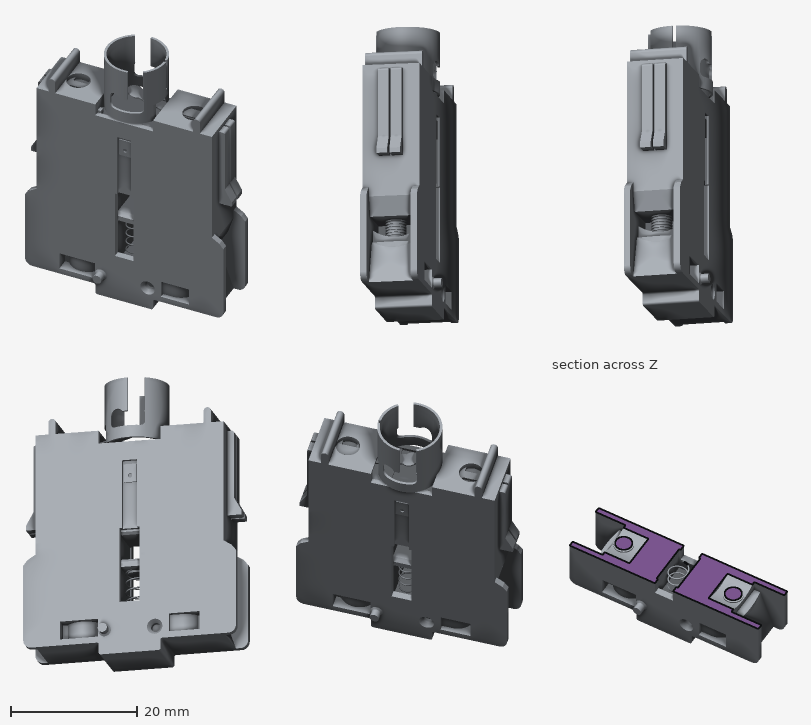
import cadquery as cq
import math

OVERLAP = 0.45

HALF_DEPTH = 4.6
BODY_HALF_WIDTH = 15.35
CHEEK_HALF_WIDTH = 17.37
CHEEK_INNER_Y = 3.55
BODY_BOTTOM = 2.0
BODY_TOP = 37.35
CHEEK_CORNER_RADIUS = 1.28
SHOULDER_START_Z = 15.8
SHOULDER_BEND_X = 16.7
SHOULDER_BEND_Z = 16.65
SHOULDER_TOP_Z = 17.45
FOOT_HALF_WIDTH = 5.05
FOOT_EDGE_RADIUS = 0.35
FOOT_CORNER_RADIUS = 0.27

SOCKET_HALF_WIDTH = 5.05
SOCKET_FLOOR = 35.2
SOCKET_LIP_Y = 3.75
SOCKET_STEP_X = 2.2
SOCKET_SHALLOW = 0.25
SOCKET_DEEP = 0.45
UNDERCUT_END_X = 7.3
UNDERCUT_ROOF = 36.95
REST_WIDTH = 0.6
REST_LENGTH = 0.9

FIN_X = 12.68
FIN_WIDTH = 1.2
FIN_TOP = 39.9
HOOK_TOP = 36.55
HOOK_BOTTOM = 22.5
HOOK_TOE_Z = 23.25
HOOK_BEND_Z = 25.45
HOOK_X = 16.35
HOOK_TOE_X = 17.6
HOOK_EDGE_RADIUS = 0.35
HOOK_INNER_Y = 0.2
HOOK_WIDTH = 1.75

SCREW_X = 10.15
SCREW_WELL_DIAMETER = 3.88
SCREW_WELL_DEPTH = 0.75
CLAMP_WIDTH = 2.4
CLAMP_INNER_Y = 0.7
CLAMP_DEPTH = 0.45
SCREW_BLADE_REACH = 1.7
SCREW_BLADE_WIDTH = 2.0
SCREW_BLADE_Y = 0.5
SCREW_BLADE_TOP = 36.85

RAMP_TOP_X = 12.95
RAMP_TOP_Z = 9.0
SILL_X = 11.85
SILL_Z = 11.13
ENTRY_END_X = 7.3
ENTRY_ROOF_X = 14.35
ENTRY_ROOF_Z = 12.85
ENTRY_EDGE_Z = 15.95
SILL_SCOOP_RADIUS = 6.25
SILL_SCOOP_Z = 10.05
RAMP_BULGE_X = 13.25
RAMP_BULGE_RADIUS = 18.25

CLAMP_SCREW_Y = 0.2
THREAD_DIAMETER = 3.35
THREAD_CORE_DIAMETER = 2.85
THREAD_BOTTOM = 10.4
THREAD_PITCH = 0.45

WINDOW_HALF_WIDTH = 1.65
WINDOW_BOTTOM = 8.55
WINDOW_TOP = 20.85
WINDOW_ROOF = 20.1
WINDOW_BEVEL_Z = 20.5
CHAMBER_HALF_WIDTH = 1.9
CHAMBER_HALF_DEPTH = 3.45
CHAMBER_BOTTOM = 6.4

SLOT_HALF_WIDTH = 1.25
SLOT_TOP = 32.1
SLOT_DEPTH = 0.55
PAD_HALF_WIDTH = 1.05
PAD_BOTTOM = 28.5
PAD_TOP = 31.5
PAD_HEIGHT = 0.25
PAD_HOLE_DIAMETER = 0.7
PAD_HOLE_Z = 29.6

COUPLING_X = 4.1
COUPLING_Z = 4.0
PIN_DIAMETER = 1.5
PIN_TIP_SPAN = 12.1
PIN_LENGTH = PIN_TIP_SPAN / 2 - HALF_DEPTH
PIN_COLLAR_DIAMETER = 2.1
PIN_COLLAR_LENGTH = 0.25
COUPLING_HOLE_DIAMETER = 2.5
COUPLING_CONE_DEPTH = 0.7
COUPLING_HOLE_DEPTH = 1.45
POCKET_BOTTOM = 3.0
POCKET_TOP = 5.97
POCKET_DEPTH = 2.1
DRUM_RADIUS = 3.2
DRUM_DEPTH = 0.8
LEFT_POCKET_X = (-11.35, -5.15)
LEFT_DRUM_X = (-10.6, -5.5)
RIGHT_POCKET_X = (6.45, 11.4)
RIGHT_DRUM_X = (8.15, 10.6)

BAR_BOTTOM = 14.75
BAR_EDGE_Z = 15.6
BAR_TOP = 16.15
BAR_HALF_DEPTH = 3.37
BAR_TOP_HALF_DEPTH = 2.75
SPRING_SEAT_DIAMETER = 2.85
SPRING_SEAT_BOTTOM = 14.35
SPRING_DIAMETER = 3.5
SPRING_PITCH = 1.6
SPRING_WIRE = 0.25
SPRING_EMBED = 0.05

LEVER_HEAD_X = -0.35
LEVER_Y = 0.45
LEVER_HEAD_DIAMETER = 2.85
LEVER_ARM_WIDTH = 2.0
LEVER_THICKNESS = 0.25
LEVER_END_X = 7.5
LEVER_END_Z = 35.7
LEVER_SLOPE = 15.8

SLEEVE_X = -0.15
SLEEVE_Y = 0.27
SLEEVE_DIAMETER = 10.35
SLEEVE_RADIUS = SLEEVE_DIAMETER / 2
SLEEVE_WALL = 0.4
SLEEVE_BOTTOM = 35.65
SLEEVE_TOP = 45.6
SLEEVE_NOTCH_X = 4.2
SLEEVE_NOTCH_TOP = 38.75
OPENING_LEFT = -2.6
OPENING_RIGHT = 3.1
OPENING_BOTTOM = 37.6
OPENING_TOP = 40.1
OPENING_BUMP_RADIUS = 1.1
OPENING_BUMP_Z = 39.55
OPENING_CORNER_RADIUS = 0.75
SLOT_ANGLES = ((-81, -52), (0, 6), (87, 118))


def block(x_range, y_range, z_range):
    """Box spanning the given (low, high) ranges."""
    low, high = zip(x_range, y_range, z_range)
    size = [b - a for a, b in zip(low, high)]
    return cq.Workplane("XY").box(*size, centered=False).translate(low)


def along_y(profile, half_depth):
    """Extrude a profile drawn in XZ to both sides of Y = 0."""
    return profile.extrude(half_depth, both=True)


def half_turn(shape):
    """Copy of a shape turned by 180 degrees about the Z axis."""
    return shape.rotate((0, 0, 0), (0, 0, 1), 180)


def face_cylinder(x, z, diameter, start, length, end_diameter=None):
    """Cylinder or cone along +Y that starts at Y = start."""
    plane = cq.Workplane("XZ", origin=(x, start, z))
    if end_diameter is None:
        return plane.circle(diameter / 2).extrude(-length)
    radius, end_radius = diameter / 2, end_diameter / 2
    cone = cq.Solid.makeCone(radius, end_radius, length, cq.Vector(x, start, z), cq.Vector(0, 1, 0))
    return cq.Workplane(cone)


def bottom_edges_within(half_width):
    """Selector for edges at the body's lower side, up to the given distance from X = 0."""
    reach = half_width + OVERLAP
    return cq.selectors.BoxSelector(
        (-reach, -reach, BODY_BOTTOM - OVERLAP), (reach, reach, BODY_BOTTOM + OVERLAP)
    )


def shell():
    outline = (
        cq.Workplane("XZ")
        .moveTo(0, BODY_BOTTOM)
        .lineTo(CHEEK_HALF_WIDTH, BODY_BOTTOM)
        .lineTo(CHEEK_HALF_WIDTH, SHOULDER_START_Z)
        .lineTo(SHOULDER_BEND_X, SHOULDER_BEND_Z)
        .lineTo(BODY_HALF_WIDTH, SHOULDER_TOP_Z)
        .lineTo(BODY_HALF_WIDTH, BODY_TOP)
        .lineTo(0, BODY_TOP)
        .mirrorY()
    )
    body = along_y(outline, HALF_DEPTH)
    body = body.edges("|Y").edges(bottom_edges_within(CHEEK_HALF_WIDTH)).fillet(CHEEK_CORNER_RADIUS)
    foot = block(
        (-FOOT_HALF_WIDTH, FOOT_HALF_WIDTH), (-HALF_DEPTH, HALF_DEPTH), (0, BODY_BOTTOM + OVERLAP)
    )
    foot = foot.faces("<Z").edges("|Y").fillet(FOOT_EDGE_RADIUS)
    body = body.union(foot)
    return body.edges("|Y").edges(bottom_edges_within(FOOT_HALF_WIDTH)).fillet(FOOT_CORNER_RADIUS)


def fin():
    """Fin across the +X side of the top, with a fully rounded crest."""
    crest_z = FIN_TOP - FIN_WIDTH / 2
    wall = block(
        (FIN_X - FIN_WIDTH / 2, FIN_X + FIN_WIDTH / 2),
        (-HALF_DEPTH, HALF_DEPTH),
        (BODY_TOP - OVERLAP, crest_z),
    )
    return wall.union(face_cylinder(FIN_X, crest_z, FIN_WIDTH, -HALF_DEPTH, 2 * HALF_DEPTH))


def hook():
    """Latch hook on the +X side, in front of the plane Y = 0."""
    root_x = BODY_HALF_WIDTH - OVERLAP
    strip = block(
        (root_x, HOOK_X), (-HOOK_INNER_Y - HOOK_WIDTH, -HOOK_INNER_Y), (HOOK_BOTTOM, HOOK_TOP)
    )
    strip = strip.edges("|Y and >X and >Z").fillet(HOOK_EDGE_RADIUS)
    toe = (
        cq.Workplane("XZ", origin=(0, -HOOK_INNER_Y, 0))
        .polyline([
            (root_x, HOOK_BOTTOM),
            (HOOK_TOE_X, HOOK_BOTTOM),
            (HOOK_TOE_X, HOOK_TOE_Z),
            (HOOK_X, HOOK_BEND_Z),
            (root_x, HOOK_BEND_Z),
        ])
        .close()
        .extrude(HOOK_WIDTH)
    )
    return strip.union(toe)


def sleeve_socket():
    """Recess in the top: two lips, a stepped floor, a +X undercut and clearance for the sleeve."""
    across = (-SOCKET_HALF_WIDTH, SOCKET_HALF_WIDTH)
    between_lips = (-SOCKET_LIP_Y, SOCKET_LIP_Y)
    recess = block(across, (-HALF_DEPTH, HALF_DEPTH), (SOCKET_FLOOR, BODY_TOP))
    shallow = block(across, between_lips, (SOCKET_FLOOR - SOCKET_SHALLOW, SOCKET_FLOOR))
    deep = block(
        (-SOCKET_HALF_WIDTH, SOCKET_STEP_X), between_lips, (SOCKET_FLOOR - SOCKET_DEEP, SOCKET_FLOOR)
    )
    undercut = block(
        (SOCKET_HALF_WIDTH, UNDERCUT_END_X), between_lips, (SOCKET_FLOOR - SOCKET_SHALLOW, UNDERCUT_ROOF)
    )
    clearance = (
        cq.Workplane("XY", origin=(SLEEVE_X, SLEEVE_Y, SOCKET_FLOOR))
        .circle(SLEEVE_RADIUS)
        .extrude(BODY_TOP - SOCKET_FLOOR)
    )
    return recess.union(shallow).union(deep).union(undercut).union(clearance)


def sleeve_rest():
    """Small block in the socket corner, under the sleeve's lower edge."""
    return block(
        (-SOCKET_HALF_WIDTH, -SOCKET_HALF_WIDTH + REST_WIDTH),
        (-SOCKET_LIP_Y, -SOCKET_LIP_Y + REST_LENGTH),
        (SOCKET_FLOOR - SOCKET_DEEP, SLEEVE_BOTTOM),
    )


def screw_well(x):
    """Round well with two clamp recesses in its floor."""
    floor = BODY_TOP - SCREW_WELL_DEPTH
    radius = SCREW_WELL_DIAMETER / 2
    well = cq.Workplane("XY", origin=(x, 0, floor)).circle(radius).extrude(SCREW_WELL_DEPTH)
    reach = cq.Workplane("XY", origin=(x, 0, floor)).circle(radius).extrude(-CLAMP_DEPTH)
    beside = (x - CLAMP_WIDTH / 2, x + CLAMP_WIDTH / 2)
    for side in ((-radius, -CLAMP_INNER_Y), (CLAMP_INNER_Y, radius)):
        recess = block(beside, side, (floor - CLAMP_DEPTH, floor))
        well = well.union(recess.intersect(reach))
    return well


def screw_blade():
    """Flat-sided block standing in the +X screw well."""
    floor = BODY_TOP - SCREW_WELL_DEPTH
    rim = cq.Workplane("XY", origin=(SCREW_X, 0, 0)).circle(SCREW_WELL_DIAMETER / 2).extrude(BODY_TOP)
    return block(
        (SCREW_X - SCREW_WELL_DIAMETER / 2, SCREW_X + SCREW_BLADE_REACH),
        (SCREW_BLADE_Y - SCREW_BLADE_WIDTH / 2, SCREW_BLADE_Y + SCREW_BLADE_WIDTH / 2),
        (floor - CLAMP_DEPTH, SCREW_BLADE_TOP),
    ).intersect(rim)


def sill_scoop():
    """Trough along X with a round bottom in the sill, ending below the roof of the wire entry."""
    trough = (
        cq.Workplane("YZ", origin=(-SILL_X, 0, SILL_SCOOP_Z + SILL_SCOOP_RADIUS))
        .circle(SILL_SCOOP_RADIUS)
        .extrude(SILL_X - ENTRY_END_X)
    )
    return trough.intersect(
        block((-SILL_X, -ENTRY_END_X), (-CHEEK_INNER_Y, CHEEK_INNER_Y), (0, ENTRY_ROOF_Z))
    )


def ramp_bulge():
    """Round front of the ramp crest, standing out of the ramp."""
    axis_x = RAMP_BULGE_RADIUS - RAMP_BULGE_X
    drum = cq.Workplane("XY").center(axis_x, 0).circle(RAMP_BULGE_RADIUS).extrude(RAMP_TOP_Z)
    return drum.intersect(
        block((-RAMP_BULGE_X, -SILL_X), (-CHEEK_INNER_Y, CHEEK_INNER_Y), (BODY_BOTTOM, RAMP_TOP_Z))
    )


def wire_entry():
    """Gap between the -X cheeks with a ramp and a sill that leads under the clamp screw."""
    beyond = CHEEK_HALF_WIDTH + OVERLAP
    profile = (
        cq.Workplane("XZ")
        .polyline([
            (-beyond, 0),
            (-BODY_HALF_WIDTH, 0),
            (-BODY_HALF_WIDTH, BODY_BOTTOM),
            (-RAMP_TOP_X, RAMP_TOP_Z),
            (-SILL_X, RAMP_TOP_Z),
            (-SILL_X, SILL_Z),
            (-ENTRY_END_X, SILL_Z),
            (-ENTRY_END_X, ENTRY_ROOF_Z),
            (-ENTRY_ROOF_X, ENTRY_ROOF_Z),
            (-BODY_HALF_WIDTH, ENTRY_EDGE_Z),
            (-BODY_HALF_WIDTH, SHOULDER_TOP_Z),
            (-beyond, SHOULDER_TOP_Z),
        ])
        .close()
    )
    return along_y(profile, CHEEK_INNER_Y).cut(ramp_bulge()).union(sill_scoop())


def window():
    """Opening through both faces, with a roof bevelled on both sides."""
    roof_y = CHAMBER_HALF_DEPTH - (WINDOW_BEVEL_Z - WINDOW_ROOF)
    profile = (
        cq.Workplane("YZ")
        .moveTo(0, WINDOW_BOTTOM)
        .lineTo(HALF_DEPTH, WINDOW_BOTTOM)
        .lineTo(HALF_DEPTH, WINDOW_TOP)
        .lineTo(CHAMBER_HALF_DEPTH, WINDOW_TOP)
        .lineTo(CHAMBER_HALF_DEPTH, WINDOW_BEVEL_Z)
        .lineTo(roof_y, WINDOW_ROOF)
        .lineTo(0, WINDOW_ROOF)
        .mirrorY()
    )
    return profile.extrude(WINDOW_HALF_WIDTH, both=True)


def spring_chamber():
    """Chamber between the two faces, a little wider and deeper than the window."""
    return block(
        (-CHAMBER_HALF_WIDTH, CHAMBER_HALF_WIDTH),
        (-CHAMBER_HALF_DEPTH, CHAMBER_HALF_DEPTH),
        (CHAMBER_BOTTOM, WINDOW_ROOF),
    )


def contact_slot():
    """Slot above the window, with a drilled pad standing on its floor."""
    floor_y = SLOT_DEPTH - HALF_DEPTH
    slot = block(
        (-SLOT_HALF_WIDTH, SLOT_HALF_WIDTH), (-HALF_DEPTH, floor_y), (WINDOW_TOP, SLOT_TOP)
    )
    pad = block(
        (-PAD_HALF_WIDTH, PAD_HALF_WIDTH), (floor_y - PAD_HEIGHT, floor_y), (PAD_BOTTOM, PAD_TOP)
    )
    hole = face_cylinder(0, PAD_HOLE_Z, PAD_HOLE_DIAMETER, floor_y - PAD_HEIGHT, PAD_HEIGHT)
    return slot.cut(pad).union(hole)


def drum_pocket(pocket_x, drum_x, drum_axis_x):
    """Rectangular pocket around a standing drum that is cut off at both sides."""
    height = (POCKET_BOTTOM, POCKET_TOP)
    pocket = block(pocket_x, (-HALF_DEPTH, POCKET_DEPTH - HALF_DEPTH), height)
    drum = (
        cq.Workplane("XY", origin=(drum_axis_x, DRUM_DEPTH + DRUM_RADIUS - HALF_DEPTH, POCKET_BOTTOM))
        .circle(DRUM_RADIUS)
        .extrude(POCKET_TOP - POCKET_BOTTOM)
    )
    return pocket.cut(drum.intersect(block(drum_x, (-HALF_DEPTH, 0), height)))


def left_pocket():
    return drum_pocket(LEFT_POCKET_X, LEFT_DRUM_X, sum(LEFT_DRUM_X) / 2)


def right_pocket():
    """Pocket whose drum continues into a flat wall."""
    flat = block(
        (RIGHT_POCKET_X[0], RIGHT_DRUM_X[0]),
        (DRUM_DEPTH - HALF_DEPTH, POCKET_DEPTH - HALF_DEPTH),
        (POCKET_BOTTOM, POCKET_TOP),
    )
    return drum_pocket(RIGHT_POCKET_X, RIGHT_DRUM_X, RIGHT_DRUM_X[0]).cut(flat)


def coupling_hole():
    cone = face_cylinder(
        COUPLING_X, COUPLING_Z, COUPLING_HOLE_DIAMETER, -HALF_DEPTH, COUPLING_CONE_DEPTH, PIN_DIAMETER
    )
    bore = face_cylinder(COUPLING_X, COUPLING_Z, PIN_DIAMETER, -HALF_DEPTH, COUPLING_HOLE_DEPTH)
    return cone.union(bore)


def coupling_pin():
    tip_y = -HALF_DEPTH - PIN_LENGTH
    pin = face_cylinder(-COUPLING_X, COUPLING_Z, PIN_DIAMETER, tip_y, PIN_LENGTH + OVERLAP)
    collar = face_cylinder(
        -COUPLING_X,
        COUPLING_Z,
        PIN_DIAMETER,
        -HALF_DEPTH - PIN_COLLAR_LENGTH,
        PIN_COLLAR_LENGTH,
        PIN_COLLAR_DIAMETER,
    )
    return pin.union(collar)


def clamp_screw():
    """Ridged screw end standing on the sill of the -X wire entry."""
    core = (
        cq.Workplane("XY", origin=(-SCREW_X, CLAMP_SCREW_Y, SILL_SCOOP_Z - OVERLAP))
        .circle(THREAD_CORE_DIAMETER / 2)
        .extrude(ENTRY_ROOF_Z - SILL_SCOOP_Z + 2 * OVERLAP)
    )
    ridge_count = math.ceil((ENTRY_ROOF_Z - THREAD_BOTTOM) / THREAD_PITCH)
    for index in range(ridge_count):
        ridge = (
            cq.Workplane("XY", origin=(-SCREW_X, CLAMP_SCREW_Y, THREAD_BOTTOM + index * THREAD_PITCH))
            .circle(THREAD_DIAMETER / 2)
            .extrude(THREAD_PITCH / 2)
        )
        core = core.union(ridge)
    return core


def contact_bar():
    """Bar across the window with bevelled top edges and a round spring seat below."""
    profile = (
        cq.Workplane("YZ")
        .moveTo(0, BAR_BOTTOM)
        .lineTo(BAR_HALF_DEPTH, BAR_BOTTOM)
        .lineTo(BAR_HALF_DEPTH, BAR_EDGE_Z)
        .lineTo(BAR_TOP_HALF_DEPTH, BAR_TOP)
        .lineTo(0, BAR_TOP)
        .mirrorY()
    )
    bar = profile.extrude(CHAMBER_HALF_WIDTH, both=True)
    seat = (
        cq.Workplane("XY", origin=(0, 0, SPRING_SEAT_BOTTOM))
        .circle(SPRING_SEAT_DIAMETER / 2)
        .extrude(BAR_BOTTOM - SPRING_SEAT_BOTTOM)
    )
    return bar.union(seat)


def spring():
    """Coil from the chamber floor up to the underside of the contact bar."""
    start = CHAMBER_BOTTOM + SPRING_WIRE / 2 - SPRING_EMBED
    height = BAR_BOTTOM + SPRING_EMBED - start
    coil_radius = (SPRING_DIAMETER - SPRING_WIRE) / 2
    path = cq.Wire.makeHelix(SPRING_PITCH, height, coil_radius, cq.Vector(0, 0, start))
    return (
        cq.Workplane("XZ", origin=(coil_radius, 0, start))
        .circle(SPRING_WIRE / 2)
        .sweep(cq.Workplane(path), isFrenet=True)
    )


def contact_lever():
    """Sloping keyhole-shaped plate whose arm is held in the end of the undercut."""
    length = (LEVER_END_X - LEVER_HEAD_X) / math.cos(math.radians(LEVER_SLOPE))
    head = cq.Workplane("XY").center(-length, 0).circle(LEVER_HEAD_DIAMETER / 2).extrude(LEVER_THICKNESS)
    arm = (
        cq.Workplane("XY").center(-length / 2, 0).rect(length, LEVER_ARM_WIDTH).extrude(LEVER_THICKNESS)
    )
    plate = head.union(arm).rotate((0, 0, 0), (0, 1, 0), LEVER_SLOPE)
    return plate.translate((LEVER_END_X, LEVER_Y, LEVER_END_Z - LEVER_THICKNESS / 2))


def with_parting_line(body):
    """Divide the body on Y = 0 and fuse the halves so that the parting line stays on its faces."""
    wide = (-2 * CHEEK_HALF_WIDTH, 2 * CHEEK_HALF_WIDTH)
    tall = (-OVERLAP, SLEEVE_TOP)
    front = body.intersect(block(wide, (-2 * HALF_DEPTH, 0), tall))
    back = body.intersect(block(wide, (0, 2 * HALF_DEPTH), tall))
    return front.union(back, clean=False)


def make_housing():
    body = shell()
    for part in (fin(), hook(), hook().mirror("XZ")):
        body = body.union(part).union(part.mirror("YZ"))
    for cut in (window(), spring_chamber()):
        body = body.cut(cut)
    for cut in (wire_entry(), contact_slot(), left_pocket(), right_pocket(), coupling_hole()):
        body = body.cut(cut).cut(half_turn(cut))
    body = body.union(coupling_pin()).union(half_turn(coupling_pin()))
    body = with_parting_line(body)
    for cut in (sleeve_socket(), screw_well(SCREW_X), screw_well(-SCREW_X)):
        body = body.cut(cut, clean=False)
    screws = (clamp_screw(), half_turn(clamp_screw()))
    for part in (*screws, contact_bar(), screw_blade(), sleeve_rest(), contact_lever(), spring()):
        body = body.union(part, clean=False)
    return body


def sector(angles, z_range):
    """Wedge about the sleeve axis between two angles in degrees."""
    reach = 2 * SLEEVE_RADIUS
    corners = [
        (reach * math.cos(math.radians(angle)), reach * math.sin(math.radians(angle))) for angle in angles
    ]
    bottom, top = z_range
    return (
        cq.Workplane("XY", origin=(SLEEVE_X, SLEEVE_Y, bottom))
        .polyline([(0, 0), *corners])
        .close()
        .extrude(top - bottom)
    )


def sleeve_opening():
    """Cross opening of the sleeve: a rounded rectangle with two round bumps on its top edge."""
    reach = (SLEEVE_Y - 2 * SLEEVE_RADIUS, SLEEVE_Y + 2 * SLEEVE_RADIUS)
    opening = block((OPENING_LEFT, OPENING_RIGHT), reach, (OPENING_BOTTOM, OPENING_BUMP_Z))
    opening = opening.faces("<Z").edges("|Y").fillet(OPENING_CORNER_RADIUS)
    left_bump_x = OPENING_LEFT + OPENING_BUMP_RADIUS
    right_bump_x = OPENING_RIGHT - OPENING_BUMP_RADIUS
    middle = block((left_bump_x, right_bump_x), reach, (OPENING_BUMP_Z, OPENING_TOP))
    opening = opening.union(middle)
    for x in (left_bump_x, right_bump_x):
        bump = face_cylinder(x, OPENING_BUMP_Z, 2 * OPENING_BUMP_RADIUS, reach[0], reach[1] - reach[0])
        opening = opening.union(bump)
    return opening


def make_sleeve():
    tube = (
        cq.Workplane("XY", origin=(SLEEVE_X, SLEEVE_Y, SLEEVE_BOTTOM))
        .circle(SLEEVE_RADIUS)
        .circle(SLEEVE_RADIUS - SLEEVE_WALL)
        .extrude(SLEEVE_TOP - SLEEVE_BOTTOM)
    )
    tube = tube.cut(sleeve_opening())
    for angles in SLOT_ANGLES:
        tube = tube.cut(sector(angles, (OPENING_TOP, SLEEVE_TOP)))
    notch = block(
        (SLEEVE_NOTCH_X, 2 * SLEEVE_RADIUS),
        (-2 * SLEEVE_RADIUS, 2 * SLEEVE_RADIUS),
        (SLEEVE_BOTTOM, SLEEVE_NOTCH_TOP),
    )
    return tube.cut(notch)


housing = make_housing()
sleeve = make_sleeve()

result = cq.Compound.makeCompound([*housing.solids().vals(), *sleeve.solids().vals()])